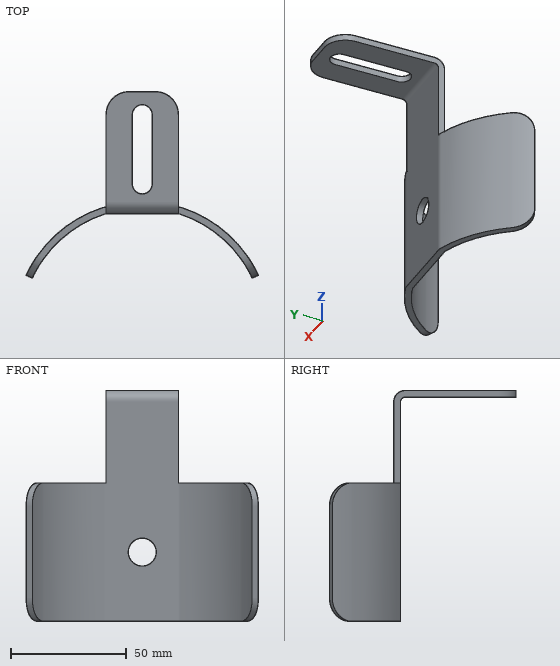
import cadquery as cq
import math

thickness = 3.0
bend_radius = 2.0
corner_radius = 10.0

strap_width = 31.4
strap_height = 100.0
flange_reach = 53.0
hole_diameter = 12.0

slot_width = 8.5
slot_travel = 30.0
slot_end_margin = 10.0

wing_height = 60.0
wing_radius = 52.5
wing_end_angle = 65.0

half_width = strap_width / 2
hole_height = wing_height / 2


def make_strap():
    """L-shaped strip: upright strap and rearward flange joined by a rounded bend."""
    outer_radius = bend_radius + thickness
    strap = (
        cq.Workplane("YZ")
        .moveTo(0, 0)
        .lineTo(0, strap_height - outer_radius)
        .radiusArc((outer_radius, strap_height), outer_radius)
        .lineTo(flange_reach, strap_height)
        .lineTo(flange_reach, strap_height - thickness)
        .lineTo(outer_radius, strap_height - thickness)
        .radiusArc((thickness, strap_height - outer_radius), -bend_radius)
        .lineTo(thickness, 0)
        .close()
        .extrude(half_width, both=True)
    )
    return strap.edges("|Z and >Y").fillet(corner_radius)


def make_wing():
    """Wing on the +X side: a small bend off the strap, then an arc about x = 0."""
    bend_angle = math.asin(half_width / (wing_radius - bend_radius))
    end_angle = math.radians(wing_end_angle)
    wing_centre_y = -bend_radius - (wing_radius - bend_radius) * math.cos(bend_angle)

    def on_bend(radius, angle):
        return (half_width + radius * math.sin(angle), radius * math.cos(angle) - bend_radius)

    def on_wing(radius, angle):
        return (radius * math.sin(angle), wing_centre_y + radius * math.cos(angle))

    bend_outer = bend_radius + thickness
    wing_outer = wing_radius + thickness
    middle_angle = (bend_angle + end_angle) / 2
    wing = (
        cq.Workplane("XY")
        .moveTo(half_width, 0)
        .lineTo(half_width, thickness)
        .threePointArc(on_bend(bend_outer, bend_angle / 2), on_bend(bend_outer, bend_angle))
        .threePointArc(on_wing(wing_outer, middle_angle), on_wing(wing_outer, end_angle))
        .lineTo(*on_wing(wing_radius, end_angle))
        .threePointArc(on_wing(wing_radius, middle_angle), on_wing(wing_radius, bend_angle))
        .threePointArc(on_bend(bend_radius, bend_angle / 2), (half_width, 0))
        .close()
        .extrude(wing_height)
    )
    return wing.faces("<Y").edges("#Z").fillet(corner_radius)


def cut_strap_hole(part):
    """Round hole through the strap, level with the middle of the wings."""
    hole = (
        cq.Workplane("XZ")
        .center(0, hole_height)
        .circle(hole_diameter / 2)
        .extrude(-thickness)
    )
    return part.cut(hole)


def cut_flange_slot(part):
    """Round-ended slot through the flange, lengthwise along Y."""
    slot_middle = flange_reach - slot_end_margin - slot_travel / 2
    slot = (
        cq.Workplane("XY", origin=(0, slot_middle, strap_height - thickness))
        .slot2D(slot_travel + slot_width, slot_width, 90)
        .extrude(thickness)
    )
    return part.cut(slot)


right_wing = make_wing()
left_wing = right_wing.mirror("YZ")
bracket = make_strap().union(right_wing).union(left_wing)
bracket = cut_strap_hole(bracket)
result = cut_flange_slot(bracket)